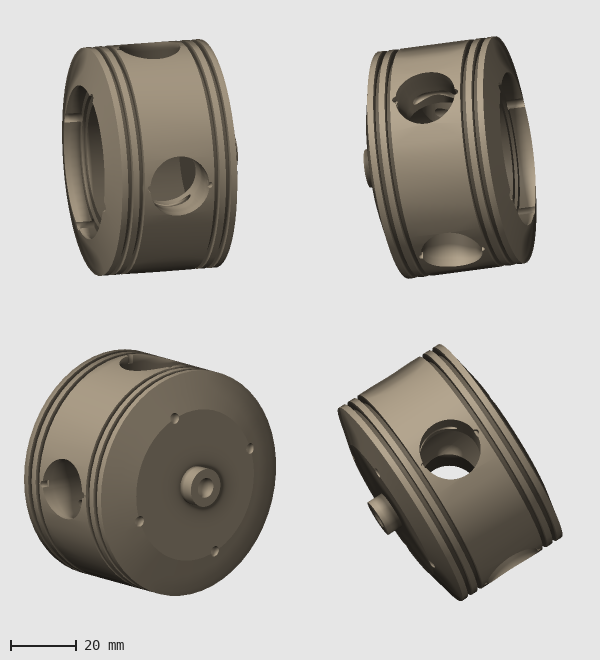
import cadquery as cq

body_radius = 35.0
ring_gap_radius = 32.0
ring_gap_width = 1.7
land_width = 1.9
front_cone_length = 2.5
rear_cone_length = 3.1
rear_face_radius = 23.5
skirt_length = 22.0

ring_pitch = land_width + ring_gap_width
groove_pair_length = 2 * ring_pitch
skirt_start = front_cone_length + groove_pair_length
skirt_end = skirt_start + skirt_length
rear_cone_start = skirt_end + groove_pair_length
rear_face = rear_cone_start + rear_cone_length

overall_length = 47.0
boss_radius = 5.9
axial_hole_radius = 3.1

mouth_radius = 23.6
mouth_depth = 5.0
step_radius = 21.5
step_depth = 6.0
bore_radius = 19.0
floor_thickness = 7.0
bore_depth = rear_face - floor_thickness

long_hole_radius = 1.65
long_hole_circle_radius = 23.5
long_hole_start_angle = 20.0
long_hole_count = 4

cross_hole_radius = 9.35
cross_hole_y = (skirt_start + skirt_end) / 2
notch_radius = 1.0
notch_depth = 2.5


def rod(radius, start, end):
    """Cylinder about the Y axis from y = start to y = end."""
    return cq.Workplane("XZ", origin=(0, start, 0)).circle(radius).extrude(start - end)


def ring_gap(start):
    """Ring of material removed for one piston-ring groove."""
    end = start + ring_gap_width
    return rod(body_radius, start, end).cut(rod(ring_gap_radius, start, end))


def turned_body():
    """Outer shape with coned ends, the rear boss and four ring grooves."""
    outline = [
        (0, 0),
        (mouth_radius, 0),
        (body_radius, front_cone_length),
        (body_radius, rear_cone_start),
        (rear_face_radius, rear_face),
        (boss_radius, rear_face),
        (boss_radius, overall_length),
        (0, overall_length),
    ]
    body = cq.Workplane("XY").polyline(outline).close().revolve(360, (0, 0, 0), (0, 1, 0))
    front_gap = front_cone_length + land_width
    for start in (front_gap, front_gap + ring_pitch, skirt_end, skirt_end + ring_pitch):
        body = body.cut(ring_gap(start))
    return body


def cavity():
    """Stepped cavity and the axial hole behind it."""
    return (
        rod(mouth_radius, 0, mouth_depth)
        .union(rod(step_radius, 0, step_depth))
        .union(rod(bore_radius, 0, bore_depth))
        .union(rod(axial_hole_radius, 0, overall_length))
    )


def long_holes():
    """Four holes along the full length of the body."""
    return (
        cq.Workplane("XZ")
        .polarArray(long_hole_circle_radius, 180 - long_hole_start_angle, 360, long_hole_count)
        .circle(long_hole_radius)
        .extrude(-rear_face)
    )


def cross_hole():
    """Hole along Z through the whole skirt, with two blind notches at each mouth."""
    cutter = (
        cq.Workplane("XY", origin=(0, cross_hole_y, -body_radius))
        .circle(cross_hole_radius)
        .extrude(2 * body_radius)
    )
    for bottom in (-body_radius, body_radius - notch_depth):
        notches = (
            cq.Workplane("XY", origin=(0, cross_hole_y, bottom))
            .pushPoints([(0, -cross_hole_radius), (0, cross_hole_radius)])
            .circle(notch_radius)
            .extrude(notch_depth)
        )
        cutter = cutter.union(notches)
    return cutter


result = turned_body().cut(cavity()).cut(long_holes())
for turn in (0, 90):
    result = result.cut(cross_hole().rotate((0, 0, 0), (0, 1, 0), turn))